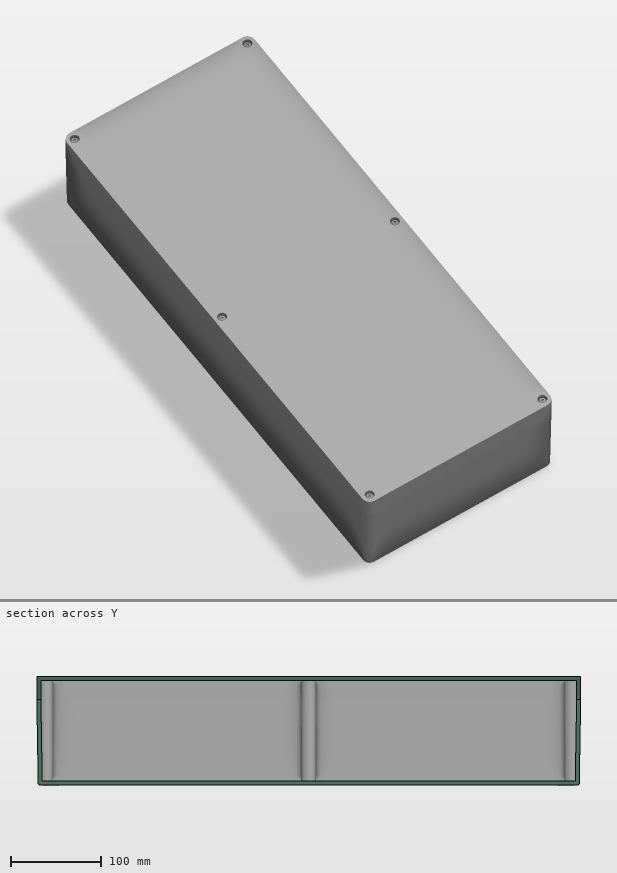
import cadquery as cq

LENGTH = 600.0
WIDTH = 250.0
CORNER_RADIUS = 10.0
WALL = 5.0

FOOT_HEIGHT = 1.0
BASE_HEIGHT = 95.0
LID_HEIGHT = 25.0
FLOOR_THICKNESS = 5.0
LID_TOP_THICKNESS = 5.0
BASE_EDGE_CHAMFER = 1.8
JOINT_Z = FOOT_HEIGHT + BASE_HEIGHT
TOP_Z = JOINT_Z + LID_HEIGHT

BASE_DRAFT = 0.95
LID_DRAFT = 0.5

FOOT_DIAMETER = 17.0
FOOT_END_INSET = 16.5
FOOT_SIDE_INSET = 33.5
FOOT_SPACING_X = LENGTH - 2 * FOOT_END_INSET
FOOT_SPACING_Y = WIDTH - 2 * FOOT_SIDE_INSET

SCREW_INSET = 10.0
HEAD_DIAMETER = 10.0
HEAD_HEIGHT = 4.0
HEAD_BEVEL = 2.2
HEAD_RECESS = 2.0
COUNTERBORE_DIAMETER = 11.0
SHANK_DIAMETER = 5.0
SHANK_LENGTH = 35.0
SLOT_LENGTH = 4.4
SLOT_WIDTH = 1.4
SLOT_DEPTH = 2.0
PILLAR_DIAMETER = 16.0
HEAD_TOP_Z = TOP_Z - HEAD_RECESS
HEAD_SEAT_Z = HEAD_TOP_Z - HEAD_HEIGHT
SCREW_TIP_Z = HEAD_SEAT_Z - SHANK_LENGTH
SCREW_X = LENGTH / 2 - SCREW_INSET
SCREW_Y = WIDTH / 2 - SCREW_INSET
SCREW_PLACES = [(x, y) for x in (-SCREW_X, 0, SCREW_X) for y in (-SCREW_Y, SCREW_Y)]


def block_from_joint(height, draft, inset=0.0):
    """Rounded block starting at the joint; a negative height goes down into the base."""
    outline = (
        cq.Sketch()
        .rect(LENGTH - 2 * inset, WIDTH - 2 * inset)
        .vertices()
        .fillet(CORNER_RADIUS - inset)
    )
    return cq.Workplane("XY", origin=(0, 0, JOINT_Z)).placeSketch(outline).extrude(height, taper=draft)


def cylinders(places, diameter, z_low, z_high):
    """Upright cylinders at the given XY places."""
    plane = cq.Workplane("XY", origin=(0, 0, z_low))
    return plane.pushPoints(places).circle(diameter / 2).extrude(z_high - z_low)


def hollow(outside, cavity_height, draft):
    """Cut the cavity, leaving a pillar around every screw."""
    cavity = block_from_joint(cavity_height, draft, inset=WALL)
    z_low, z_high = sorted((JOINT_Z, JOINT_Z + cavity_height))
    return outside.cut(cavity.cut(cylinders(SCREW_PLACES, PILLAR_DIAMETER, z_low, z_high)))


def make_base():
    base = block_from_joint(-BASE_HEIGHT, BASE_DRAFT).faces("<Z").edges().chamfer(BASE_EDGE_CHAMFER)
    base = hollow(base, FLOOR_THICKNESS - BASE_HEIGHT, BASE_DRAFT)
    base = base.cut(cylinders(SCREW_PLACES, SHANK_DIAMETER, SCREW_TIP_Z, JOINT_Z))
    foot_places = cq.Workplane("XY").rarray(FOOT_SPACING_X, FOOT_SPACING_Y, 2, 2)
    feet = foot_places.circle(FOOT_DIAMETER / 2).extrude(FOOT_HEIGHT)
    return base.union(feet)


def make_lid():
    lid = hollow(block_from_joint(LID_HEIGHT, LID_DRAFT), LID_HEIGHT - LID_TOP_THICKNESS, LID_DRAFT)
    lid = lid.cut(cylinders(SCREW_PLACES, COUNTERBORE_DIAMETER, HEAD_SEAT_Z, TOP_Z))
    return lid.cut(cylinders(SCREW_PLACES, SHANK_DIAMETER, JOINT_Z, HEAD_SEAT_Z))


def make_screw(x, y):
    """Cross-slotted screw with a bevelled head."""
    head = cylinders([(x, y)], HEAD_DIAMETER, HEAD_SEAT_Z, HEAD_TOP_Z)
    head = head.faces(">Z").edges().chamfer(HEAD_BEVEL)
    slot_floor = cq.Workplane("XY", origin=(x, y, HEAD_TOP_Z - SLOT_DEPTH))
    for size in ((SLOT_LENGTH, SLOT_WIDTH), (SLOT_WIDTH, SLOT_LENGTH)):
        head = head.cut(slot_floor.rect(*size).extrude(SLOT_DEPTH))
    return head.union(cylinders([(x, y)], SHANK_DIAMETER, SCREW_TIP_Z, HEAD_SEAT_Z))


base = make_base()
lid = make_lid()
screws = [make_screw(x, y) for x, y in SCREW_PLACES]

result = cq.Compound.makeCompound([base.val(), lid.val(), *[screw.val() for screw in screws]])